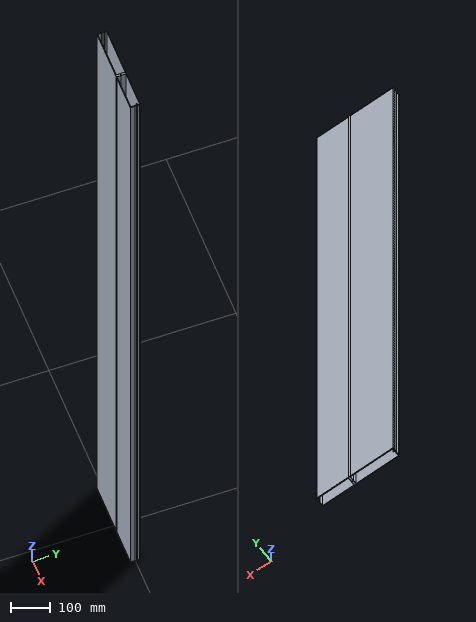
import cadquery as cq

width = 240.0
depth = 28.0
length = 2000.0

wall = 2.0
seam_y = 13.0
divider_x = 135.0
divider_thickness = 5.0
lip_y = 18.0
lip_thickness = 2.0
lip_reach = 5.0


def bar(x_start, x_end, y_start, y_end):
    """Full-length rectangular bar running along Z."""
    size_x = x_end - x_start
    size_y = y_end - y_start
    return cq.Workplane("XY").box(size_x, size_y, length, centered=False).translate((x_start, y_start, 0))


def divided_channel(y_start, y_end, cavity_start, cavity_end):
    """Channel with two side walls, one broad face and its share of the divider."""
    outside = bar(0, width, y_start, y_end)
    cavity = bar(wall, width - wall, cavity_start, cavity_end)
    divider = bar(divider_x, divider_x + divider_thickness, cavity_start, cavity_end)
    return outside.cut(cavity).union(divider)


def make_front_shell():
    return divided_channel(0, seam_y, wall, seam_y)


def make_back_shell():
    shell = divided_channel(seam_y, depth, seam_y, depth - wall)
    for lip_x in (wall, width - wall - lip_reach):
        shell = shell.union(bar(lip_x, lip_x + lip_reach, lip_y, lip_y + lip_thickness))
    return shell


front_shell = make_front_shell()
back_shell = make_back_shell()

result = cq.Compound.makeCompound([front_shell.solids().val(), back_shell.solids().val()])